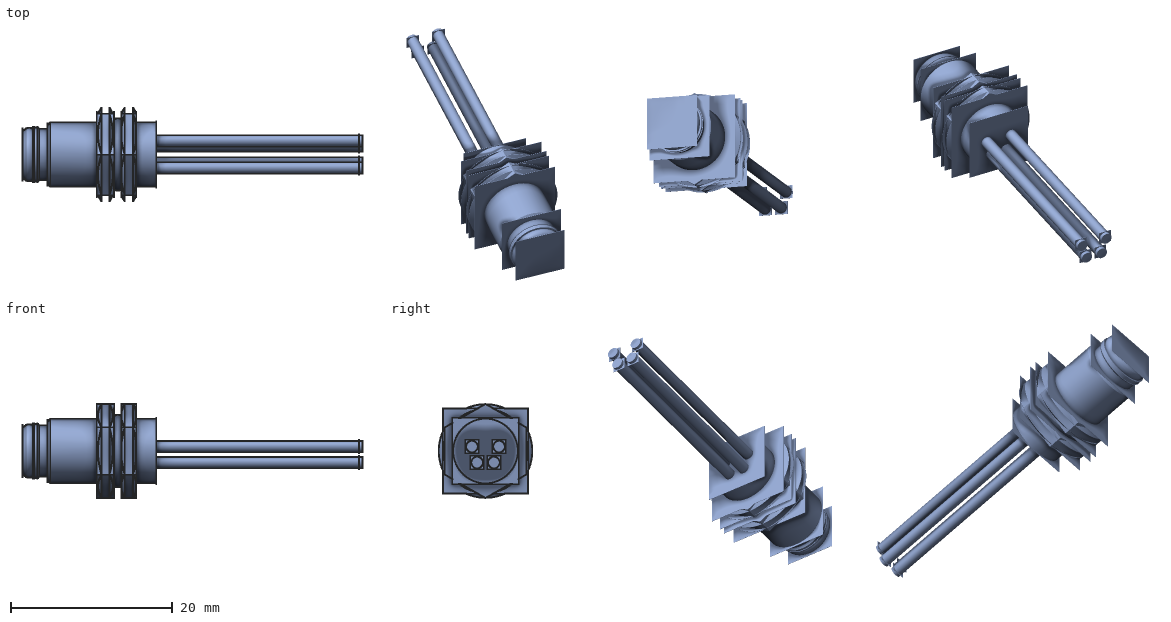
import cadquery as cq
import math

TOTAL_LENGTH = 42.1
SHEET = 0.05

NOSE_FACE_RADIUS = 2.85
NOSE_RADIUS = 3.2
NOSE_CHAMFER_LENGTH = 0.38
NOSE_CROWN_RADIUS = 3.33
NOSE_SHEET_WIDTH = 6.5
RIDGE_START = 1.25
RIDGE_END = 2.05
RIDGE_RADIUS = 3.45
RIDGE_LIP = 0.2
RIDGE_GROOVE_DEPTH = 0.1

BODY_START = 3.07
BODY_END = 16.6
BODY_RADIUS = 4.0
BODY_CHAMFER = 0.38
BODY_SHEET_WIDTH = 7.8
REAR_SHEET_WIDTH = 8.2

HEX_CORNERS = 11.65
NUT_SHEET_WIDTH = 10.55
FLANGE_RADIUS = 5.8
FLANGE_ANGLE = 30.0
FRONT_NUT_START = 9.18
FRONT_NUT_END = 11.35
FRONT_NUT_FACE_RADIUS = 4.85
REAR_NUT_START = 12.25
REAR_NUT_END = 14.1
REAR_NUT_FACE_RADIUS = 5.18

RING_EDGE_RADIUS = 4.35
RING_CROWN_RADIUS = 4.5

WIRE_RADIUS = 0.7
WIRE_PITCH_RADIUS = 1.75
WIRE_PLACES = 5
WIRE_SHEET_WIDTH = 1.65
WIRE_SHEET_START = 41.65


def revolve_about_x(profile):
    return profile.close().revolve(360, (0, 0, 0), (1, 0, 0))


def square_sheet(start, width, y=0.0, z=0.0):
    """Thin square sheet normal to X."""
    sheet = cq.Workplane("XY").box(SHEET, width, width, centered=(False, True, True))
    return sheet.translate((start, y, z))


def nose():
    groove_radius = RIDGE_RADIUS - RIDGE_GROOVE_DEPTH
    crown_middle = (NOSE_CHAMFER_LENGTH + RIDGE_START) / 2
    profile = (
        cq.Workplane("XY")
        .lineTo(0, NOSE_FACE_RADIUS)
        .lineTo(NOSE_CHAMFER_LENGTH, NOSE_RADIUS)
        .threePointArc((crown_middle, NOSE_CROWN_RADIUS), (RIDGE_START, NOSE_RADIUS))
        .lineTo(RIDGE_START, RIDGE_RADIUS)
        .lineTo(RIDGE_START + RIDGE_LIP, RIDGE_RADIUS)
        .lineTo(RIDGE_START + RIDGE_LIP, groove_radius)
        .lineTo(RIDGE_END - RIDGE_LIP, groove_radius)
        .lineTo(RIDGE_END - RIDGE_LIP, RIDGE_RADIUS)
        .lineTo(RIDGE_END, NOSE_RADIUS)
        .lineTo(BODY_START, NOSE_RADIUS)
        .lineTo(BODY_START, 0)
    )
    return revolve_about_x(profile).union(square_sheet(0, NOSE_SHEET_WIDTH))


def body():
    profile = (
        cq.Workplane("XY")
        .moveTo(BODY_START, 0)
        .lineTo(BODY_START, BODY_RADIUS - BODY_CHAMFER)
        .lineTo(BODY_START + BODY_CHAMFER, BODY_RADIUS)
        .lineTo(BODY_END, BODY_RADIUS)
        .lineTo(BODY_END, 0)
    )
    front_sheet = square_sheet(BODY_START, BODY_SHEET_WIDTH)
    rear_sheet = square_sheet(BODY_END - SHEET, REAR_SHEET_WIDTH)
    return revolve_about_x(profile).union(front_sheet).union(rear_sheet)


def cone_flange(face, inward, face_radius):
    """Thin cone that widens from just inside a nut face; inward is +1 or -1 along X."""
    root = face + inward * SHEET / 2
    rim = root + inward * (FLANGE_RADIUS - face_radius) * math.tan(math.radians(FLANGE_ANGLE))
    step = inward * SHEET
    profile = (
        cq.Workplane("XY")
        .moveTo(root, face_radius)
        .lineTo(rim, FLANGE_RADIUS)
        .lineTo(rim + step, FLANGE_RADIUS)
        .lineTo(root + step, face_radius)
    )
    return revolve_about_x(profile)


def nut(start, end, face_radius):
    prism = (
        cq.Workplane("YZ")
        .workplane(offset=start)
        .polygon(6, HEX_CORNERS)
        .extrude(end - start)
        .rotate((0, 0, 0), (1, 0, 0), 90)
    )
    return (
        prism
        .union(square_sheet(start, NUT_SHEET_WIDTH))
        .union(square_sheet(end - SHEET, NUT_SHEET_WIDTH))
        .union(cone_flange(start, 1, face_radius))
        .union(cone_flange(end, -1, face_radius))
    )


def sealing_ring():
    middle = (FRONT_NUT_END + REAR_NUT_START) / 2
    profile = (
        cq.Workplane("XY")
        .moveTo(FRONT_NUT_END, 0)
        .lineTo(FRONT_NUT_END, RING_EDGE_RADIUS)
        .threePointArc((middle, RING_CROWN_RADIUS), (REAR_NUT_START, RING_EDGE_RADIUS))
        .lineTo(REAR_NUT_START, 0)
    )
    return revolve_about_x(profile)


def wire(place):
    angle = math.radians(90 + place * 360 / WIRE_PLACES)
    y = WIRE_PITCH_RADIUS * math.cos(angle)
    z = WIRE_PITCH_RADIUS * math.sin(angle)
    core = (
        cq.Workplane("YZ")
        .workplane(offset=BODY_END)
        .center(y, z)
        .circle(WIRE_RADIUS)
        .extrude(TOTAL_LENGTH - BODY_END)
    )
    return core.union(square_sheet(WIRE_SHEET_START, WIRE_SHEET_WIDTH, y, z))


result = (
    nose()
    .union(body())
    .union(nut(FRONT_NUT_START, FRONT_NUT_END, FRONT_NUT_FACE_RADIUS))
    .union(nut(REAR_NUT_START, REAR_NUT_END, REAR_NUT_FACE_RADIUS))
    .union(sealing_ring())
)
for place in range(1, WIRE_PLACES):
    result = result.union(wire(place))